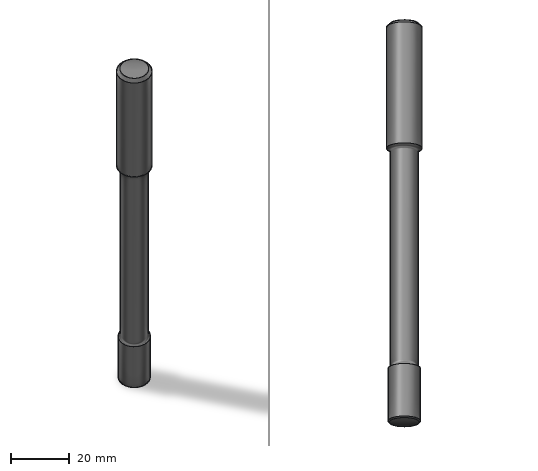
import cadquery as cq
import math

TOTAL_LENGTH = 142.0
HEAD_DIAMETER = 12.0
HEAD_LENGTH = 44.3
HEAD_TOP_CHAMFER = 1.1
SHANK_DIAMETER = 9.5
FLARE_RADIUS = 1.5
TIP_DIAMETER = 11.0
TIP_LENGTH = 19.2
TIP_END_CHAMFER = 0.4

HEAD_BASE_Z = TOTAL_LENGTH - HEAD_LENGTH
HEAD_RADIUS = HEAD_DIAMETER / 2
SHANK_RADIUS = SHANK_DIAMETER / 2
TIP_RADIUS = TIP_DIAMETER / 2


def make_head():
    """Cylindrical head, chamfered at the top and resting on the shank."""
    head = cq.Workplane("XY", origin=(0, 0, HEAD_BASE_Z)).circle(HEAD_RADIUS).extrude(HEAD_LENGTH)
    return head.faces(">Z").edges().chamfer(HEAD_TOP_CHAMFER)


def flare_height(step):
    """Axial length of a concave arc, tangent to the shank, that widens its radius by step."""
    return math.sqrt(FLARE_RADIUS**2 - (FLARE_RADIUS - step) ** 2)


def make_shank():
    """Turned shank with a thicker tip and concave flares into the tip and the head."""
    tip_flare_end_z = TIP_LENGTH + flare_height(TIP_RADIUS - SHANK_RADIUS)
    neck_flare_start_z = HEAD_BASE_Z - flare_height(HEAD_RADIUS - SHANK_RADIUS)
    profile = (
        cq.Workplane("XZ")
        .moveTo(0, 0)
        .lineTo(TIP_RADIUS - TIP_END_CHAMFER, 0)
        .lineTo(TIP_RADIUS, TIP_END_CHAMFER)
        .lineTo(TIP_RADIUS, TIP_LENGTH)
        .radiusArc((SHANK_RADIUS, tip_flare_end_z), FLARE_RADIUS)
        .lineTo(SHANK_RADIUS, neck_flare_start_z)
        .radiusArc((HEAD_RADIUS, HEAD_BASE_Z), FLARE_RADIUS)
        .lineTo(0, HEAD_BASE_Z)
        .close()
    )
    return profile.revolve(360, (0, 0, 0), (0, 1, 0))


head = make_head()
shank = make_shank()
result = cq.Compound.makeCompound([head.val(), shank.val()])